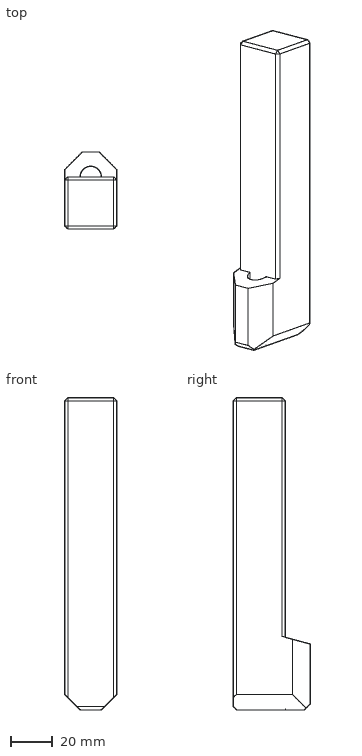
import cadquery as cq
import math

length = 150.0
shank_side = 25.0
depth = 37.0
heel_back_height = 31.8
heel_slope = 15.0
heel_corner = 8.5
edge_chamfer = 1.5
foot_side_chamfer = 7.5
foot_front_chamfer = 1.8
foot_back_chamfer = 3.0
bore_diameter = 10.0

half_width = shank_side / 2


def make_shank():
    """Square bar with chamfered vertical edges and top rim."""
    bar = cq.Workplane("XY").box(shank_side, shank_side, length, centered=(True, False, False))
    return bar.edges("|Z or >Z").chamfer(edge_chamfer)


def make_heel():
    """Block behind the front edge chamfer, sloping down to the rear."""
    slope_start = shank_side - edge_chamfer
    rise = (depth - slope_start) * math.tan(math.radians(heel_slope))
    heel = (
        cq.Workplane("YZ")
        .moveTo(edge_chamfer, 0)
        .lineTo(depth, 0)
        .lineTo(depth, heel_back_height)
        .lineTo(slope_start, heel_back_height + rise)
        .lineTo(edge_chamfer, heel_back_height + rise)
        .close()
        .extrude(half_width, both=True)
    )
    return heel.edges("|Z and >Y").chamfer(heel_corner)


def cut_bore(heel):
    """Half-round passage through the heel, along the rear face of the shank."""
    radius = bore_diameter / 2
    bore = (
        cq.Workplane("XY")
        .moveTo(-radius, shank_side)
        .threePointArc((0, shank_side + radius), (radius, shank_side))
        .close()
        .extrude(length)
    )
    return heel.cut(bore)


def trim_foot(body):
    """Keep the part of the body inside the tapered foot outlines."""
    front_outline = (
        cq.Workplane("XZ")
        .moveTo(-half_width, length)
        .lineTo(-half_width, foot_side_chamfer)
        .lineTo(foot_side_chamfer - half_width, 0)
        .lineTo(half_width - foot_side_chamfer, 0)
        .lineTo(half_width, foot_side_chamfer)
        .lineTo(half_width, length)
        .close()
        .extrude(-depth)
    )
    side_outline = (
        cq.Workplane("YZ")
        .moveTo(0, length)
        .lineTo(0, foot_front_chamfer)
        .lineTo(foot_front_chamfer, 0)
        .lineTo(depth - foot_back_chamfer, 0)
        .lineTo(depth, foot_back_chamfer)
        .lineTo(depth, length)
        .close()
        .extrude(half_width, both=True)
    )
    return body.intersect(front_outline).intersect(side_outline)


body = make_shank().union(cut_bore(make_heel()))
result = trim_foot(body).clean()